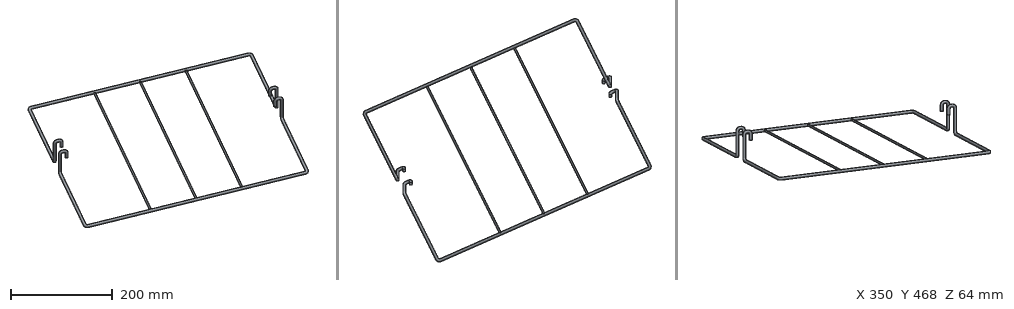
import cadquery as cq

length_x = 350.0
length_y = 468.0
height = 64.0

frame_wire_diameter = 6.0
crossbar_diameter = 4.0
frame_bend_radius = 5.0
hook_bend_radius = 6.0

hook_pair_spacing = 31.0
hook_width = 14.0
hook_tip_drop = 21.0
crossbar_pitch = 95.0
crossbar_offsets = (-crossbar_pitch, 0, crossbar_pitch)

frame_wire_radius = frame_wire_diameter / 2
rail_x = length_x / 2 - frame_wire_radius
end_y = length_y / 2 - frame_wire_radius
hook_x = hook_pair_spacing / 2
hook_top_z = height - frame_wire_diameter
hook_tip_z = height - frame_wire_radius - hook_tip_drop
hook_tip_y = end_y - hook_width


def bent_wire(points, bend_radii, diameter):
    """Sweep a round wire along a polyline with a rounded bend at each inner point."""
    corners = [cq.Vector(*point) for point in points]
    start = corners[0]
    edges = []
    for index, radius in enumerate(bend_radii, start=1):
        corner = corners[index]
        toward_previous = (corners[index - 1] - corner).normalized()
        toward_next = (corners[index + 1] - corner).normalized()
        bend_start = corner + toward_previous * radius
        bend_end = corner + toward_next * radius
        edges.append(cq.Edge.makeLine(start, bend_start))
        edges.append(cq.Edge.makeTangentArc(bend_start, toward_previous * -1, bend_end))
        start = bend_end
    edges.append(cq.Edge.makeLine(start, corners[-1]))
    path = cq.Workplane(obj=cq.Wire.assembleEdges(edges))
    profile_plane = cq.Plane(origin=corners[0], normal=corners[1] - corners[0])
    return cq.Workplane(profile_plane).circle(diameter / 2).sweep(path)


def side_frame():
    """Right-hand rail with its two end arms and upright hooks, bent from one wire."""
    front_to_middle = [
        (hook_x, -hook_tip_y, hook_tip_z),
        (hook_x, -hook_tip_y, hook_top_z),
        (hook_x, -end_y, hook_top_z),
        (hook_x, -end_y, 0),
        (rail_x, -end_y, 0),
    ]
    middle_to_back = [(x, -y, z) for x, y, z in reversed(front_to_middle)]
    front_radii = [hook_bend_radius, hook_bend_radius, frame_bend_radius, frame_bend_radius]
    bend_radii = front_radii + front_radii[::-1]
    return bent_wire(front_to_middle + middle_to_back, bend_radii, frame_wire_diameter)


def crossbar(y):
    """Straight thin bar joining the centrelines of the two rails."""
    return (
        cq.Workplane("YZ", origin=(-rail_x, 0, 0))
        .center(y, 0)
        .circle(crossbar_diameter / 2)
        .extrude(2 * rail_x)
    )


right_frame = side_frame()
result = right_frame.union(right_frame.mirror("YZ"))
for offset in crossbar_offsets:
    result = result.union(crossbar(offset))